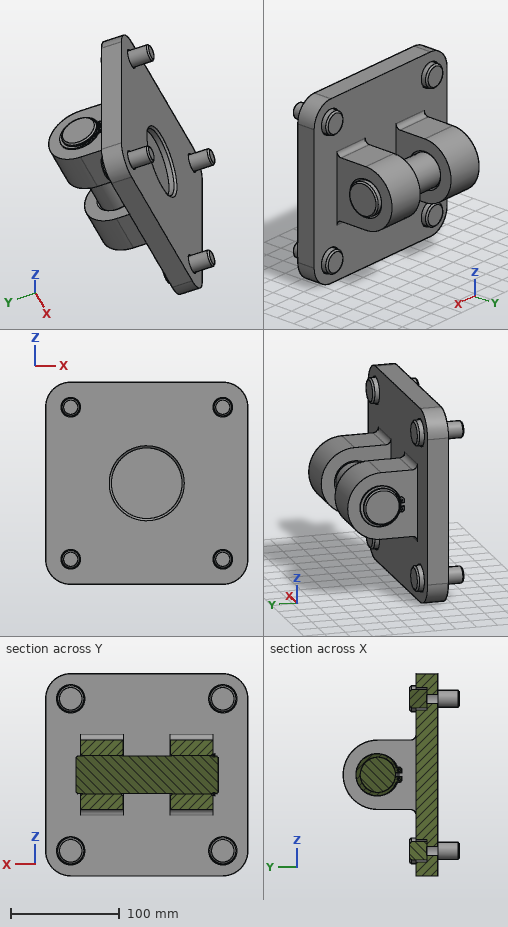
import cadquery as cq
import math

plate_side = 186.0
plate_thickness = 20.0
plate_corner_radius = 23.2

recess_diameter = 65.0
recess_depth = 7.0
recess_chamfer = 2.0

screw_spacing = 139.7
screw_diameter = 16.0
screw_length = 30.0
screw_tip_chamfer = 1.5
head_diameter = 24.0
head_height = 16.0
head_chamfer = 1.7
clearance_diameter = 18.0
counterbore_diameter = 26.0
counterbore_depth = 10.0

lug_radius = 32.0
lug_gap = 43.2
lug_thickness = 39.5
lug_foot_fillet = 5.0
lug_bore_chamfer = 1.9
pin_height = 35.0
lug_outer_x = lug_gap / 2 + lug_thickness
pin_y = plate_thickness + pin_height

pin_diameter = 35.0
pin_left_x = -65.8
pin_right_x = 65.1
pin_chamfer = 1.5
groove_diameter = 33.0

ring_thickness = 1.5
ring_outer_radius = 19.5
ring_offset = 0.7
ring_end_radius = 18.5
ring_end_half_angle = 36.0
ear_diameter = 6.0
ear_hole_diameter = 2.5
ear_distance = 19.2
ear_spacing = 8.4
ear_gap = 3.3
ring_left_x = -lug_outer_x - ring_thickness

screw_places = [
    (side_x * screw_spacing / 2, side_z * screw_spacing / 2)
    for side_x in (-1, 1)
    for side_z in (-1, 1)
]


def cylinder_y(radius, start_y, length, x=0.0, z=0.0):
    """Cylinder along +Y that starts at start_y."""
    circle = cq.Workplane("XZ", origin=(x, start_y, z)).circle(radius)
    return circle.extrude(-length)


def cylinder_x(radius, start_x, length, y=pin_y, z=0.0):
    """Cylinder along +X that starts at start_x, on the pin axis unless placed elsewhere."""
    return cq.Workplane("YZ", origin=(start_x, y, z)).circle(radius).extrude(length)


def make_plate():
    """Rounded square plate with its chamfered centring recess."""
    plate = cq.Workplane("XZ").rect(plate_side, plate_side).extrude(-plate_thickness)
    plate = plate.cut(cylinder_y(recess_diameter / 2, 0, recess_depth))
    plate = plate.faces("<Y").edges("%CIRCLE").chamfer(recess_chamfer)
    corners = plate.faces("<X or >X").edges("|Y")
    return corners.fillet(plate_corner_radius)


def make_lug(start_x):
    """Round-topped lug with flared feet and a pin bore chamfered on both faces."""
    foot_y = plate_thickness + lug_foot_fillet
    foot_z = lug_radius + lug_foot_fillet
    lug = (
        cq.Workplane("YZ", origin=(start_x, 0, 0))
        .moveTo(plate_thickness, -foot_z)
        .radiusArc((foot_y, -lug_radius), lug_foot_fillet)
        .lineTo(pin_y, -lug_radius)
        .threePointArc((pin_y + lug_radius, 0), (pin_y, lug_radius))
        .lineTo(foot_y, lug_radius)
        .radiusArc((plate_thickness, foot_z), lug_foot_fillet)
        .close()
        .extrude(lug_thickness)
    )
    lug = lug.cut(cylinder_x(pin_diameter / 2, start_x, lug_thickness))
    bore_rims = lug.edges(cq.selectors.RadiusNthSelector(1))
    return bore_rims.chamfer(lug_bore_chamfer)


def make_bracket():
    """Plate and both lugs as one body, with a counterbored hole for each screw."""
    bracket = make_plate()
    for start_x in (-lug_outer_x, lug_gap / 2):
        bracket = bracket.union(make_lug(start_x))
    seat_y = plate_thickness - counterbore_depth
    for x, z in screw_places:
        bracket = bracket.cut(cylinder_y(clearance_diameter / 2, 0, plate_thickness, x, z))
        bracket = bracket.cut(cylinder_y(counterbore_diameter / 2, seat_y, counterbore_depth, x, z))
    return bracket


def make_screw(x, z):
    """Cylinder-head screw whose head rests on the counterbore floor."""
    seat_y = plate_thickness - counterbore_depth
    shank = cylinder_y(screw_diameter / 2, seat_y - screw_length, screw_length, x, z)
    shank = shank.faces("<Y").chamfer(screw_tip_chamfer)
    head = cylinder_y(head_diameter / 2, seat_y, head_height, x, z)
    head = head.faces(">Y").chamfer(head_chamfer)
    return shank.union(head)


def make_pin():
    """Chamfered pin with the groove for the retaining ring."""
    pin = cylinder_x(pin_diameter / 2, pin_left_x, pin_right_x - pin_left_x)
    pin = pin.faces("<X or >X").chamfer(pin_chamfer)
    groove = cylinder_x(pin_diameter / 2, ring_left_x, ring_thickness).cut(
        cylinder_x(groove_diameter / 2, ring_left_x, ring_thickness)
    )
    return pin.cut(groove)


def make_ear(side):
    """Ring ear: half-round away from the gap, square beside it."""
    ear_radius = ear_diameter / 2
    ear_y = pin_y - ear_distance
    ear_z = side * ear_spacing / 2
    ear = cylinder_x(ear_radius, ring_left_x, ring_thickness, ear_y, ear_z)
    square_height = (ear_spacing - ear_gap) / 2
    square = cq.Workplane("XY").box(ring_thickness, ear_diameter, square_height)
    square_x = ring_left_x + ring_thickness / 2
    return ear.union(square.translate((square_x, ear_y, ear_z - side * square_height / 2)))


def make_ring():
    """Open retaining ring, eccentric so that it tapers to its ears on the plate side."""
    ring = cylinder_x(ring_outer_radius, ring_left_x, ring_thickness, pin_y + ring_offset)

    wedge_depth = 2 * ring_outer_radius
    wedge_half_width = wedge_depth * math.tan(math.radians(ring_end_half_angle))
    wedge = (
        cq.Workplane("YZ", origin=(ring_left_x, 0, 0))
        .moveTo(pin_y, 0)
        .lineTo(pin_y - wedge_depth, -wedge_half_width)
        .lineTo(pin_y - wedge_depth, wedge_half_width)
        .close()
        .extrude(ring_thickness)
    )
    ring = ring.cut(wedge.cut(cylinder_x(ring_end_radius, ring_left_x, ring_thickness)))

    for side in (-1, 1):
        ring = ring.union(make_ear(side))

    opening = cq.Workplane("XY").box(ring_thickness, wedge_depth, ear_gap)
    opening_x = ring_left_x + ring_thickness / 2
    ring = ring.cut(opening.translate((opening_x, pin_y - wedge_depth / 2, 0)))

    ring = ring.cut(cylinder_x(groove_diameter / 2, ring_left_x, ring_thickness))
    for side in (-1, 1):
        ear_z = side * ear_spacing / 2
        hole_radius = ear_hole_diameter / 2
        ring = ring.cut(
            cylinder_x(hole_radius, ring_left_x, ring_thickness, pin_y - ear_distance, ear_z)
        )
    return ring


bracket = make_bracket()
pin = make_pin()
ring = make_ring()
screws = [make_screw(x, z) for x, z in screw_places]

bodies = [bracket, pin, ring, *screws]
result = cq.Compound.makeCompound([body.solids().val() for body in bodies])